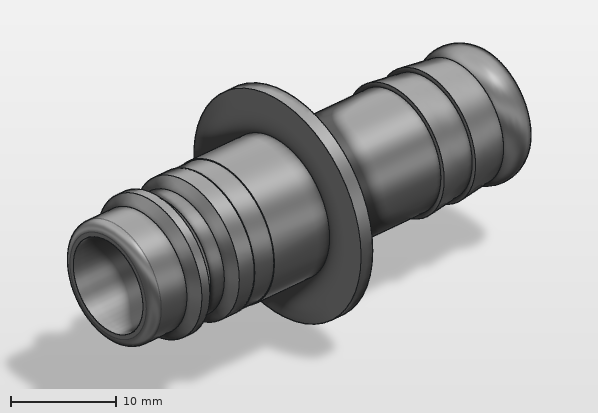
import cadquery as cq

total_length = 48.0
bore_radius = 5.0
tube_radius = 6.5
body_radius = 7.5
chamfer = body_radius - tube_radius

nose_fillet = 1.0
rib_start = 4.25
rib_land = 1.0
groove_end = 9.0

relief_radius = 7.4
relief_start = 12.0
relief_end = 14.5

flange_radius = 12.0
flange_thickness = 1.5
flange_back = 23.0
flange_front = flange_back - flange_thickness

barb_count = 2
barb_length = 4.0
barb_tip_radius = 6.95
bead_length = 3.5
bead_radius = 7.1
bead_start = total_length - bead_length
barbs_start = bead_start - barb_count * barb_length


def plug_outline(profile):
    """Rounded nose, chamfered rib, seal groove and relieved plug body."""
    rib_land_start = rib_start + chamfer
    rib_land_end = rib_land_start + rib_land
    return (
        profile.moveTo(bore_radius, 0)
        .lineTo(tube_radius - nose_fillet, 0)
        .radiusArc((tube_radius, nose_fillet), -nose_fillet)
        .lineTo(tube_radius, rib_start)
        .lineTo(body_radius, rib_land_start)
        .lineTo(body_radius, rib_land_end)
        .lineTo(tube_radius, rib_land_end + chamfer)
        .lineTo(tube_radius, groove_end)
        .lineTo(body_radius, groove_end + chamfer)
        .lineTo(body_radius, relief_start)
        .lineTo(relief_radius, relief_start)
        .lineTo(relief_radius, relief_end)
        .lineTo(body_radius, relief_end)
        .lineTo(body_radius, flange_front)
    )


def flange_outline(profile):
    """Thin round flange."""
    return (
        profile.lineTo(flange_radius, flange_front)
        .lineTo(flange_radius, flange_back)
        .lineTo(tube_radius, flange_back)
    )


def hose_outline(profile):
    """Plain tube, barbs narrowing toward the hose end, and the end bead."""
    profile = profile.lineTo(tube_radius, barbs_start)
    for index in range(barb_count):
        barb_start = barbs_start + index * barb_length
        profile = profile.lineTo(barb_tip_radius, barb_start)
        profile = profile.lineTo(tube_radius, barb_start + barb_length)
    bead_crest = (bead_radius, bead_start + bead_length / 2)
    return (
        profile.threePointArc(bead_crest, (tube_radius, total_length))
        .lineTo(bore_radius, total_length)
    )


half_section = hose_outline(flange_outline(plug_outline(cq.Workplane("XY")))).close()
result = half_section.revolve(360, (0, 0, 0), (0, 1, 0))